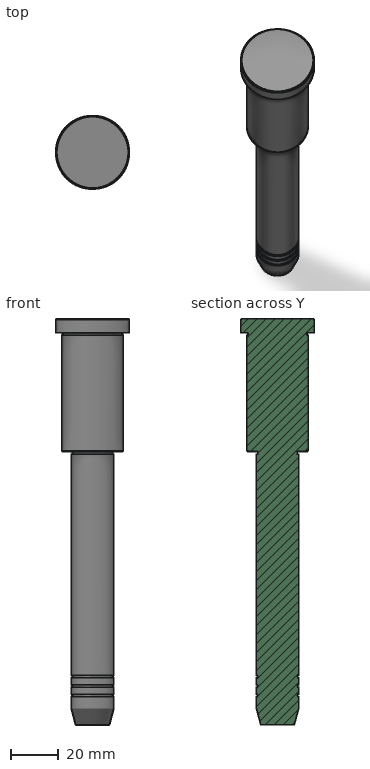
import cadquery as cq
import math

total_length = 171.0
head_radius = 15.5
head_height = 6.0
head_chamfer = 0.5
body_radius = 13.0
body_length = 50.0
body_chamfer = 0.5
shank_radius = 9.0
tip_taper_length = 7.0
tip_taper_angle = 15.0
tip_edge_radius = 0.5

groove_radius = 0.5
ring_count = 3
ring_pitch = 4.0
lowest_ring_center = 12.5

relief_width = 1.0
relief_depth = 0.5

head_bottom = total_length - head_height
body_bottom = head_bottom - body_length
relief_bottom = body_bottom - relief_width

tip_radius = shank_radius - tip_taper_length * math.tan(math.radians(tip_taper_angle))


def half_round_groove(profile, surface_radius, center_level):
    """Run the profile up the surface and through a half-round groove."""
    profile = profile.lineTo(-surface_radius, center_level - groove_radius)
    return profile.threePointArc(
        (-(surface_radius - groove_radius), center_level),
        (-surface_radius, center_level + groove_radius),
    )


def add_tip(profile):
    """Flat tip face and taper; the edge between them is rounded after revolving."""
    return profile.lineTo(-tip_radius, 0).lineTo(-shank_radius, tip_taper_length)


def add_shank(profile):
    """Shank with its ring grooves and the relief below the body."""
    for index in range(ring_count):
        profile = half_round_groove(profile, shank_radius, lowest_ring_center + index * ring_pitch)
    relief_radius = shank_radius - relief_depth
    profile = profile.lineTo(-shank_radius, relief_bottom).lineTo(-relief_radius, relief_bottom)
    return profile.lineTo(-relief_radius, body_bottom)


def add_body(profile):
    """Body with a chamfered lower edge and a half-round groove against the head."""
    profile = profile.lineTo(-(body_radius - body_chamfer), body_bottom)
    profile = profile.lineTo(-body_radius, body_bottom + body_chamfer)
    return half_round_groove(profile, body_radius, head_bottom - groove_radius)


def add_head(profile):
    """Head with a chamfered upper edge."""
    profile = profile.lineTo(-head_radius, head_bottom)
    profile = profile.lineTo(-head_radius, total_length - head_chamfer)
    return profile.lineTo(-(head_radius - head_chamfer), total_length).lineTo(0, total_length)


half_profile = cq.Workplane("XZ").moveTo(0, 0)
for add_section in (add_tip, add_shank, add_body, add_head):
    half_profile = add_section(half_profile)

pin = half_profile.close().revolve(360, (0, 0, 0), (0, 1, 0))
result = pin.faces("<Z").edges().fillet(tip_edge_radius)